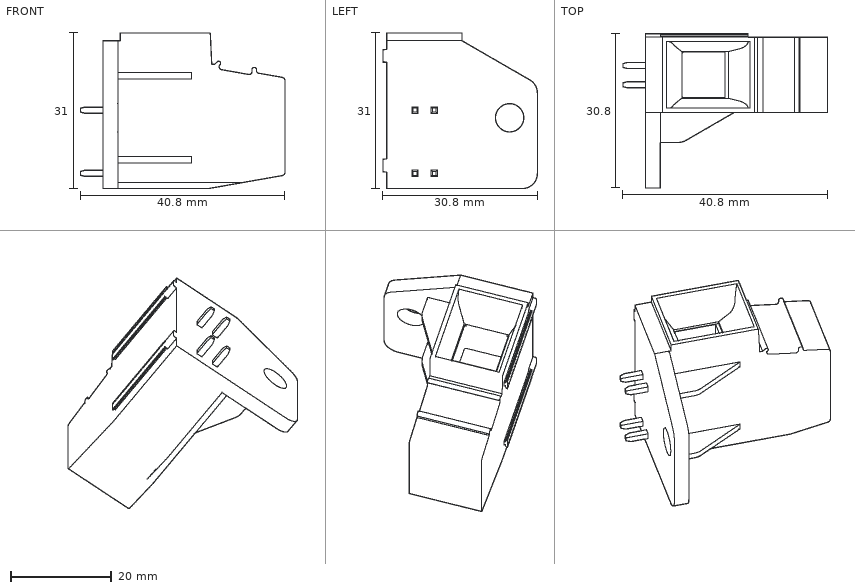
import cadquery as cq
import math

OVERALL_LENGTH = 40.8
PIN_REACH = 4.5
BODY_END_X = OVERALL_LENGTH - PIN_REACH
BODY_WIDTH = 15.0
HEIGHT = 31.0
DECK_ANGLE = math.radians(10)
SLOPE = math.tan(DECK_ANGLE)
HALF_SQUARE = math.sqrt(0.5)

PLATE_THICKNESS = 3.0
PLATE_TOP_Z = 29.45
PLATE_EAR = 15.0
PLATE_CORNER_RADIUS = 3.0
EAR_SLOPE = math.tan(math.radians(30))
SCREW_HOLE_DIAMETER = 5.6
SCREW_HOLE_Y = -9.45
SCREW_HOLE_Z = 14.1

TOWER_START_X = 3.43
TOWER_TOP_X = 21.4
TOWER_FOOT_X = 21.7
TOWER_FOOT_Z = 24.8
TOWER_EDGE_RADIUS = 0.2
LATCH_X = 23.05
LATCH_Z = 24.95
LATCH_TIP_RADIUS = 0.4
LATCH_UNDERCUT_RADIUS = 0.57
REAR_DECK_X = 30.8
REAR_DECK_Z = 23.05
NUB_X = 30.15
NUB_RADIUS = 0.5
NUB_TOP_Z = 24.15
NUB_FOOT_RADIUS = 0.55
NUB_REAR_CHAMFER = 0.3
BASE_FLAT_END_X = 21.05
DECK_EDGE_RADIUS = 0.8

SIDE_RECESS_HEIGHT = 1.22
SIDE_RECESS_DEPTH = 1.5

WALL = 0.9
FUNNEL_START_X = 4.25
FUNNEL_END_X = 20.8
FUNNEL_BOTTOM_Z = 23.55
LEFT_KNEE_X = 5.7
LEFT_KNEE_Z = 25.9
PIT_START_X = 7.25
PIT_END_X = 15.87
FUNNEL_MARGIN_Y = 2.85
PIT_MARGIN_Y = 2.98
PIT_FLOOR_Z = 14.7
PIT_CORNER_RADIUS = 0.35
PIT_FLOOR_RADIUS = 0.7
LEDGE_END_X = 16.52
LEDGE_Z = 23.05
RIGHT_WALL_LEAN = math.radians(5)
RIGHT_ARC_RADIUS = 2.7
RIGHT_RAMP_X = 18.85
RIGHT_RAMP_Z = 24.7
SIDE_ARC_RADIUS = 8.5
SIDE_ARC_START_Z = 29.35
SIDE_ARC_INSET = 1.4

RIB_THICKNESS = 1.25
RIB_BASES_Z = (5.15, 21.83)
RIB_DEPTH = 5.95
RIB_CORNER_X = 7.4
RIB_END_X = 17.65
RIB_CORNER_RADIUS = 3.0

PAD_BASES_Z = (3.3, 25.15)
PAD_HEIGHT = 2.6
PAD_DEPTH = 0.75
PAD_RADIUS = 0.33
RAIL_NECK_DEPTH = 0.25
RAIL_LIP_DEPTH = 0.15
RAIL_FLANK_DROP = 0.75
RAIL_END_X = 20.5

PIN_SIZE = 1.25
PIN_TIP_SIZE = 0.78
PIN_TIP_LENGTH = 0.95
PIN_ROWS_Y = (5.55, 9.4)
PIN_ROWS_Z = (3.05, 15.63)


def side_prism(outline, y_start, y_end):
    """Extrude an XZ outline, drawn on the XZ plane, from y_start to y_end."""
    return outline.extrude(y_start - y_end).translate((0, y_start, 0))


def block(x, y, z):
    """Box given by its (low, high) limits on each axis."""
    size = (x[1] - x[0], y[1] - y[0], z[1] - z[0])
    return cq.Workplane("XY").box(*size, centered=False).translate((x[0], y[0], z[0]))


def make_plate():
    top_of_ear = PLATE_TOP_Z - PLATE_EAR * EAR_SLOPE
    outline = [
        (-PLATE_EAR, 0),
        (BODY_WIDTH, 0),
        (BODY_WIDTH, PLATE_TOP_Z),
        (0, PLATE_TOP_Z),
        (-PLATE_EAR, top_of_ear),
    ]
    plate = cq.Workplane("YZ").polyline(outline).close().extrude(PLATE_THICKNESS)
    plate = plate.edges("|X and <Y").fillet(PLATE_CORNER_RADIUS)
    hole = cq.Workplane("YZ").center(SCREW_HOLE_Y, SCREW_HOLE_Z).circle(SCREW_HOLE_DIAMETER / 2)
    return plate.cut(hole.extrude(PLATE_THICKNESS))


def make_body():
    tip_offset = LATCH_TIP_RADIUS * HALF_SQUARE
    center_offset = (LATCH_TIP_RADIUS + LATCH_UNDERCUT_RADIUS) * HALF_SQUARE
    undercut_x = LATCH_X + center_offset
    undercut_z = LATCH_Z - center_offset
    deck_x = undercut_x - LATCH_UNDERCUT_RADIUS * math.sin(DECK_ANGLE)
    deck_z = undercut_z - LATCH_UNDERCUT_RADIUS * math.cos(DECK_ANGLE)
    latch_top = (LATCH_X - tip_offset, LATCH_Z + tip_offset)
    latch_neck = (LATCH_X + tip_offset, LATCH_Z - tip_offset)
    latch_foot_x = latch_top[0] - (latch_top[1] - TOWER_FOOT_Z)

    nub_left = NUB_X - NUB_RADIUS
    nub_right = NUB_X + NUB_RADIUS
    nub_center_z = NUB_TOP_Z - NUB_RADIUS
    nub_foot_x = nub_left - NUB_FOOT_RADIUS
    nub_foot_z = deck_z - SLOPE * (nub_foot_x - deck_x)
    bend = NUB_FOOT_RADIUS * HALF_SQUARE
    outline = (
        cq.Workplane("XZ")
        .moveTo(0, 0)
        .lineTo(BASE_FLAT_END_X, 0)
        .lineTo(BODY_END_X, SLOPE * (BODY_END_X - BASE_FLAT_END_X))
        .lineTo(BODY_END_X, REAR_DECK_Z - SLOPE * (BODY_END_X - REAR_DECK_X))
        .lineTo(REAR_DECK_X, REAR_DECK_Z)
        .lineTo(nub_right, REAR_DECK_Z + NUB_REAR_CHAMFER)
        .lineTo(nub_right, nub_center_z)
        .threePointArc((NUB_X, NUB_TOP_Z), (nub_left, nub_center_z))
        .lineTo(nub_left, nub_foot_z + NUB_FOOT_RADIUS)
        .threePointArc(
            (nub_foot_x + bend, nub_foot_z + NUB_FOOT_RADIUS - bend), (nub_foot_x, nub_foot_z)
        )
        .lineTo(deck_x, deck_z)
        .threePointArc((undercut_x - LATCH_UNDERCUT_RADIUS, undercut_z), latch_neck)
        .threePointArc((LATCH_X + tip_offset, LATCH_Z + tip_offset), latch_top)
        .lineTo(latch_foot_x, TOWER_FOOT_Z)
        .lineTo(TOWER_FOOT_X, TOWER_FOOT_Z)
        .lineTo(TOWER_TOP_X, HEIGHT)
        .lineTo(TOWER_START_X, HEIGHT)
        .lineTo(TOWER_START_X, PLATE_TOP_Z)
        .lineTo(0, PLATE_TOP_Z)
        .close()
    )
    body = side_prism(outline, 0, BODY_WIDTH)
    body = body.edges("|Y and >X").fillet(DECK_EDGE_RADIUS)
    tower_corner = cq.selectors.NearestToPointSelector((TOWER_TOP_X, BODY_WIDTH / 2, HEIGHT))
    body = body.edges(tower_corner).fillet(TOWER_EDGE_RADIUS)
    recess = block((PLATE_THICKNESS, BODY_END_X), (0, SIDE_RECESS_DEPTH), (0, SIDE_RECESS_HEIGHT))
    return body.cut(recess)


def make_funnel():
    """Cavity common to a lengthwise and a crosswise funnel profile."""
    ramp_angle = math.atan2(RIGHT_RAMP_X - LEDGE_END_X, RIGHT_RAMP_Z - FUNNEL_BOTTOM_Z)

    def right_arc(angle):
        x = RIGHT_RAMP_X + RIGHT_ARC_RADIUS * (math.cos(angle) - math.cos(ramp_angle))
        z = RIGHT_RAMP_Z + RIGHT_ARC_RADIUS * (math.sin(ramp_angle) - math.sin(angle))
        return x, z

    lengthwise = (
        cq.Workplane("XZ")
        .moveTo(FUNNEL_START_X, HEIGHT)
        .lineTo(LEFT_KNEE_X, LEFT_KNEE_Z)
        .lineTo(PIT_START_X, FUNNEL_BOTTOM_Z)
        .lineTo(LEDGE_END_X, FUNNEL_BOTTOM_Z)
        .lineTo(RIGHT_RAMP_X, RIGHT_RAMP_Z)
        .threePointArc(right_arc((ramp_angle + RIGHT_WALL_LEAN) / 2), right_arc(RIGHT_WALL_LEAN))
        .lineTo(FUNNEL_END_X, HEIGHT)
        .close()
    )
    sweep = math.acos(1 - SIDE_ARC_INSET / SIDE_ARC_RADIUS)

    def side_arc(angle):
        y = WALL + SIDE_ARC_RADIUS * (1 - math.cos(angle))
        z = SIDE_ARC_START_Z - SIDE_ARC_RADIUS * math.sin(angle)
        return y, z

    half = (
        cq.Workplane("YZ")
        .moveTo(BODY_WIDTH / 2, HEIGHT)
        .lineTo(WALL, HEIGHT)
        .lineTo(*side_arc(0))
        .threePointArc(side_arc(sweep / 2), side_arc(sweep))
        .lineTo(FUNNEL_MARGIN_Y, FUNNEL_BOTTOM_Z)
        .lineTo(BODY_WIDTH / 2, FUNNEL_BOTTOM_Z)
        .close()
        .extrude(BODY_END_X)
    )
    crosswise = half.union(half.mirror("XZ", (0, BODY_WIDTH / 2, 0)))
    return side_prism(lengthwise, 0, BODY_WIDTH).intersect(crosswise)


def make_pit():
    """Rectangular pit below a slightly wider ledge at the foot of the funnel."""
    pit_y = (PIT_MARGIN_Y, BODY_WIDTH - PIT_MARGIN_Y)
    ledge_y = (FUNNEL_MARGIN_Y, BODY_WIDTH - FUNNEL_MARGIN_Y)
    pit = block((PIT_START_X, PIT_END_X), pit_y, (PIT_FLOOR_Z, LEDGE_Z))
    pit = pit.edges("|Z and <X").fillet(PIT_CORNER_RADIUS)
    pit = pit.edges("|Y and >X and <Z").fillet(PIT_FLOOR_RADIUS)
    ledge = block((PIT_START_X, LEDGE_END_X), ledge_y, (LEDGE_Z, FUNNEL_BOTTOM_Z))
    return pit.union(ledge)


def make_rib(base_z):
    outline = [
        (PLATE_THICKNESS, 0),
        (PLATE_THICKNESS, -RIB_DEPTH),
        (RIB_CORNER_X, -RIB_DEPTH),
        (RIB_END_X, 0),
    ]
    rib = cq.Workplane("XY").polyline(outline).close().extrude(RIB_THICKNESS)
    corner = cq.selectors.NearestToPointSelector((RIB_CORNER_X, -RIB_DEPTH, RIB_THICKNESS / 2))
    return rib.edges(corner).fillet(RIB_CORNER_RADIUS).translate((0, 0, base_z))


def make_pad(base_z):
    """Rounded pad on the plate edge, continued along the body as a dovetail rail."""
    pad = block((0, PLATE_THICKNESS), (BODY_WIDTH, BODY_WIDTH + PAD_DEPTH), (0, PAD_HEIGHT))
    pad = pad.edges("|X and >Y").fillet(PAD_RADIUS)
    neck_y = BODY_WIDTH + RAIL_NECK_DEPTH
    lip_y = BODY_WIDTH + PAD_DEPTH - RAIL_LIP_DEPTH
    outer_y = BODY_WIDTH + PAD_DEPTH
    neck_top = PAD_HEIGHT - RAIL_FLANK_DROP
    section = [
        (BODY_WIDTH, RAIL_FLANK_DROP),
        (neck_y, RAIL_FLANK_DROP),
        (lip_y, 0),
        (outer_y, 0),
        (outer_y, PAD_HEIGHT),
        (lip_y, PAD_HEIGHT),
        (neck_y, neck_top),
        (BODY_WIDTH, neck_top),
    ]
    rail = cq.Workplane("YZ").polyline(section).close().extrude(RAIL_END_X - PLATE_THICKNESS)
    rail = rail.translate((PLATE_THICKNESS, 0, 0))
    return pad.union(rail).translate((0, 0, base_z))


def make_pin(y, z):
    shank_length = PIN_REACH - PIN_TIP_LENGTH
    shank = cq.Workplane("YZ").rect(PIN_SIZE, PIN_SIZE).extrude(-shank_length)
    tip = (
        cq.Workplane("YZ", origin=(-PIN_REACH, 0, 0))
        .rect(PIN_TIP_SIZE, PIN_TIP_SIZE)
        .workplane(offset=PIN_TIP_LENGTH)
        .rect(PIN_SIZE, PIN_SIZE)
        .loft()
    )
    return shank.union(tip).translate((0, y, z))


result = make_body().cut(make_funnel()).cut(make_pit()).union(make_plate())
for rib_z in RIB_BASES_Z:
    result = result.union(make_rib(rib_z))
for pad_z in PAD_BASES_Z:
    result = result.union(make_pad(pad_z))
for pin_y in PIN_ROWS_Y:
    for pin_z in PIN_ROWS_Z:
        result = result.union(make_pin(pin_y, pin_z))